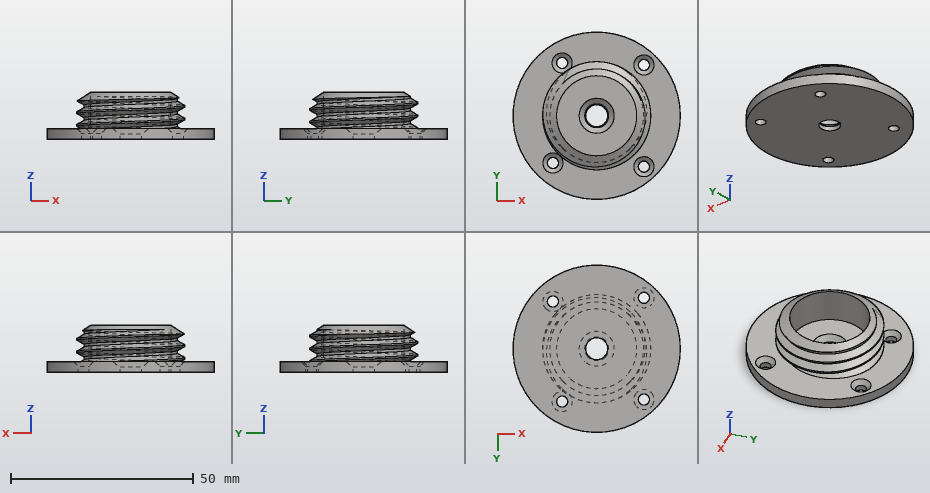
import cadquery as cq

flange_diameter = 46.0
flange_thickness = 3.0

total_height = 13.0
bore_radius = 22.0 / 2
root_radius = 25.7 / 2
crest_radius = 29.7 / 2
top_cone_drop = 2.55

pitch = 3.5
crest_width = pitch / 8
root_width = 0.75
crest_height_at_x = 5.6
turns_below_crest = 2
thread_turns = 5
thread_overlap = 0.2
envelope_clearance = 0.45

screw_diameter = 3.0
screw_head_diameter = 5.5
screw_sink_depth = 1.3
screw_centres = [(-9.48, 14.5), (12.95, 13.95), (-12.0, -12.95), (12.95, -14.0)]
centre_diameter = 6.0
centre_seat_diameter = 6.6
centre_head_diameter = 9.6
centre_sink_depth = 1.5


def revolved(points):
    """Solid of revolution about Z from an outline of (radius, height) points."""
    return cq.Workplane("XZ").polyline(points).close().revolve(360, (0, 0), (0, 1))


def countersunk_cutter(hole_diameter, seat_diameter, head_diameter, sink_depth):
    """Through hole whose conical mouth opens at the top face of the flange."""
    seat_height = flange_thickness - sink_depth
    cone = revolved([
        (0, seat_height),
        (seat_diameter / 2, seat_height),
        (head_diameter / 2, flange_thickness),
        (0, flange_thickness),
    ])
    hole = cq.Workplane("XY").circle(hole_diameter / 2).extrude(flange_thickness)
    return hole.union(cone)


def thread_ridge():
    """Helical ridge running from below the flange top to above the collar."""
    start = crest_height_at_x - turns_below_crest * pitch
    inner_radius = root_radius - thread_overlap
    flank_slope = (pitch - root_width - crest_width) / 2 / (crest_radius - root_radius)
    crest_half = crest_width / 2
    base_half = crest_half + (crest_radius - inner_radius) * flank_slope
    path = cq.Wire.makeHelix(pitch, thread_turns * pitch, root_radius, cq.Vector(0, 0, start))
    profile = cq.Workplane("XZ").polyline([
        (inner_radius, start - base_half),
        (crest_radius, start - crest_half),
        (crest_radius, start + crest_half),
        (inner_radius, start + base_half),
    ]).close()
    return profile.sweep(cq.Workplane(path), isFrenet=True)


def collar_envelope():
    """Envelope around the crests, with the conical top that trims the thread."""
    outer_radius = crest_radius + envelope_clearance
    cone_slope = top_cone_drop / (crest_radius - bore_radius)
    shoulder_height = total_height - cone_slope * (outer_radius - bore_radius)
    return revolved([
        (0, flange_thickness),
        (outer_radius, flange_thickness),
        (outer_radius, shoulder_height),
        (bore_radius, total_height),
        (0, total_height),
    ])


flange = cq.Workplane("XY").circle(flange_diameter / 2).extrude(flange_thickness)
flange = flange.cut(countersunk_cutter(
    centre_diameter, centre_seat_diameter, centre_head_diameter, centre_sink_depth))
screw_cutter = countersunk_cutter(
    screw_diameter, screw_diameter, screw_head_diameter, screw_sink_depth)
for x, y in screw_centres:
    flange = flange.cut(screw_cutter.translate((x, y, 0)))

core = (
    cq.Workplane("XY").workplane(offset=flange_thickness)
    .circle(root_radius).circle(bore_radius).extrude(total_height - flange_thickness)
)
envelope = collar_envelope()
collar = core.intersect(envelope).union(thread_ridge().intersect(envelope))

result = flange.union(collar)